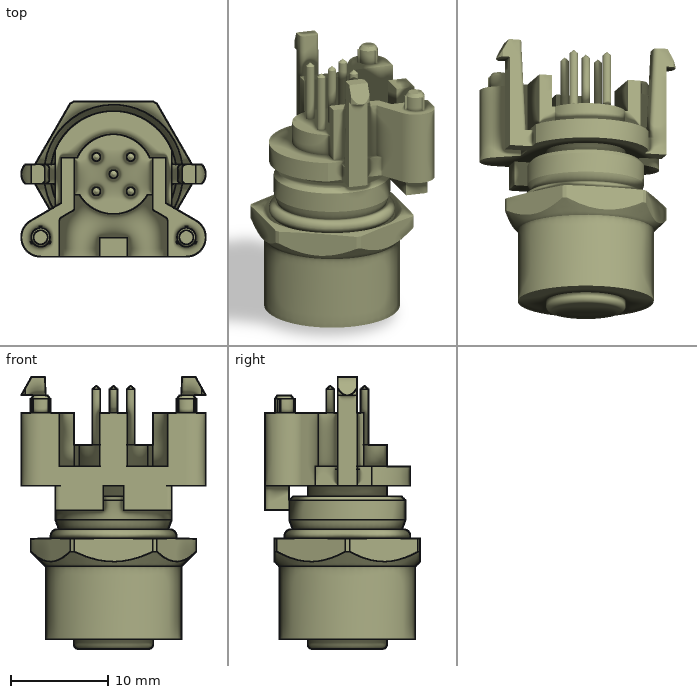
import cadquery as cq
import math

body_bottom = 1.0
nut_bottom = 8.5
nut_top = 11.4
cone_bottom = 12.35
collar_bottom = 13.3
skirt_bottom = 14.3
collar_top = 15.75
plate_bottom = 16.8
plate_top = 18.8
insulator_top = 21.0
wall_top = 24.3
peg_top = 26.1
pin_top = 27.1
latch_top = 28.0

insert_radius = 4.1
insert_edge_radius = 0.5
body_radius = 7.0
core_radius = 5.65
collar_radius = 6.0
collar_chamfer = 0.45

nut_across_flats = 15.0
nut_corner_radius = 8.53
washer_face_radius = 7.45
washer_face_height = 0.07
countersink_radius = 7.15
countersink_floor_radius = 6.5
countersink_depth = 0.45

seal_ring_radius = 5.75
seal_section_radius = 0.75

plate_radius = 6.5
plate_half_width = 6.0
ear_x = 7.5
ear_y = -6.5
ear_radius = 2.0
carrier_front = ear_y - ear_radius
wall_outer_x = 5.4
wall_inner_x = 4.04
wall_back = 1.67
splay_angle = math.radians(30)
well_half_width = 5.56
well_splay_y = -4.55
well_bend_radius = 0.4
wall_bend_radius = 0.25
post_width = 2.8
post_depth = 1.95
skirt_back = -collar_radius
skirt_corner_radius = 0.5
skirt_notch_width = 2.1
tab_front = -2.1

peg_radius = 0.97
peg_tip_radius = 0.72
peg_chamfer_height = 0.35
rib_reach = 1.15
rib_width = 0.25
rib_angles = (90, 210, 330)

latch_half_width = 1.0
latch_outer_x = 8.35
latch_top_outer_x = 8.45
latch_tip_x = 9.5
latch_tip_corner_x = 9.07
latch_top_inner_x = 7.05
latch_root_inner_x = 6.6
latch_edge_radius = 0.45
hook_bottom = 26.12
web_drop = 0.3
web_fillet_radius = 0.2

pin_radius = 0.425
pin_circle_radius = 2.5
pin_tip_height = 0.38


def cylinder(radius, bottom, top):
    return cq.Workplane("XY").workplane(offset=bottom).circle(radius).extrude(top - bottom)


def block(x_min, x_max, y_min, y_max, z_min, z_max):
    size = (x_max - x_min, y_max - y_min, z_max - z_min)
    return cq.Workplane("XY").box(*size, centered=False).translate((x_min, y_min, z_min))


def turned(points):
    """Revolve a closed (radius, height) outline about the Z axis."""
    return cq.Workplane("XZ").polyline(points).close().revolve(360, (0, 0), (0, 1))


def mirrored_pair(shape):
    return shape.union(shape.mirror("YZ"))


def turned_body():
    insert = cylinder(insert_radius, 0, insulator_top)
    insert = insert.faces("<Z").edges().fillet(insert_edge_radius)
    shell = turned([
        (0, body_bottom),
        (body_radius, body_bottom),
        (body_radius, nut_bottom),
        (core_radius, nut_bottom),
        (core_radius, cone_bottom),
        (collar_radius, collar_bottom),
        (collar_radius, collar_top - collar_chamfer),
        (collar_radius - collar_chamfer, collar_top),
        (0, collar_top),
    ])
    return insert.union(shell)


def nut():
    shoulder_top = nut_top - washer_face_height
    corner_diameter = nut_across_flats / math.cos(math.pi / 6)
    hexagon = (
        cq.Workplane("XY").workplane(offset=nut_bottom)
        .polygon(6, corner_diameter).extrude(nut_top - nut_bottom)
    )
    envelope = turned([
        (0, nut_bottom),
        (body_radius, nut_bottom),
        (nut_corner_radius, nut_bottom + nut_corner_radius - body_radius),
        (nut_corner_radius, shoulder_top),
        (washer_face_radius, nut_top),
        (0, nut_top),
    ])
    countersink = turned([
        (0, nut_top - countersink_depth),
        (countersink_floor_radius, nut_top - countersink_depth),
        (countersink_radius, nut_top),
        (0, nut_top),
    ])
    return hexagon.intersect(envelope).cut(countersink)


def seal_ring():
    center_height = cone_bottom - seal_section_radius
    return (
        cq.Workplane("XZ").center(seal_ring_radius, center_height)
        .circle(seal_section_radius)
        .revolve(360, (-seal_ring_radius, 0), (-seal_ring_radius, 1))
    )


def carrier_plate():
    band = block(-plate_half_width, plate_half_width, -plate_radius, plate_radius, plate_bottom, plate_top)
    disc = cylinder(plate_radius, plate_bottom, plate_top).intersect(band)
    front = block(-plate_half_width, plate_half_width, carrier_front, 0, plate_bottom, plate_top)
    return disc.union(front)


def side_wall():
    """Left wall: a straight arm that splays out tangentially into the rounded ear."""
    tangent_x = -ear_x - ear_radius * math.sin(splay_angle)
    tangent_y = ear_y + ear_radius * math.cos(splay_angle)
    outer_bend_y = tangent_y - (tangent_x + wall_outer_x) * math.tan(splay_angle)
    inner_bend_y = well_splay_y + (well_half_width - wall_inner_x) * math.tan(splay_angle)
    arc_middle_x = -ear_x - ear_radius * math.cos(splay_angle)
    arc_middle_y = ear_y - ear_radius * math.sin(splay_angle)
    wall = (
        cq.Workplane("XY").workplane(offset=plate_bottom)
        .moveTo(-wall_inner_x, wall_back)
        .lineTo(-wall_outer_x, wall_back)
        .lineTo(-wall_outer_x, outer_bend_y)
        .lineTo(tangent_x, tangent_y)
        .threePointArc((arc_middle_x, arc_middle_y), (-ear_x, carrier_front))
        .lineTo(-well_half_width, carrier_front)
        .lineTo(-well_half_width, well_splay_y)
        .lineTo(-wall_inner_x, inner_bend_y)
        .close().extrude(wall_top - plate_bottom)
    )
    bends = (
        (-well_half_width, well_splay_y, well_bend_radius),
        (-wall_inner_x, inner_bend_y, wall_bend_radius),
    )
    for x, y, radius in bends:
        bend_edge = cq.selectors.NearestToPointSelector((x, y, (plate_bottom + wall_top) / 2))
        wall = wall.edges("|Z").edges(bend_edge).fillet(radius)
    return wall


def front_post_and_skirt():
    half_post = post_width / 2
    half_notch = skirt_notch_width / 2
    post = block(-half_post, half_post, carrier_front, carrier_front + post_depth, plate_bottom, wall_top)
    skirt = block(
        -plate_half_width, plate_half_width, carrier_front, skirt_back, skirt_bottom, plate_bottom
    )
    skirt = skirt.edges("|Z and <Y").fillet(skirt_corner_radius)
    notch = block(-half_notch, half_notch, carrier_front, skirt_back, skirt_bottom, plate_bottom)
    return post.union(skirt.cut(notch))


def insulator_tabs():
    """Keying tabs that join the round insulator to the side walls."""
    return block(-wall_inner_x, wall_inner_x, tab_front, wall_back, plate_top, insulator_top)


def peg():
    chamfer_start = peg_top - peg_chamfer_height
    peg_post = turned([
        (0, plate_top),
        (peg_radius, plate_top),
        (peg_radius, chamfer_start),
        (peg_tip_radius, peg_top),
        (0, peg_top),
    ])
    for angle in rib_angles:
        rib = block(0, rib_reach, -rib_width / 2, rib_width / 2, plate_top, chamfer_start)
        peg_post = peg_post.union(rib.rotate((0, 0, 0), (0, 0, 1), angle))
    return peg_post.translate((-ear_x, ear_y, 0))


def latch():
    """Left snap latch: tapered arm with a hook on top and a web to the plate at its root."""
    profile = (
        cq.Workplane("XZ")
        .moveTo(-latch_outer_x, plate_bottom)
        .lineTo(-latch_outer_x, hook_bottom)
        .lineTo(-latch_tip_x, hook_bottom)
        .lineTo(-latch_top_outer_x, latch_top)
        .lineTo(-latch_top_inner_x, latch_top)
        .lineTo(-latch_root_inner_x, plate_top)
        .lineTo(-latch_root_inner_x, plate_bottom)
        .close().extrude(latch_half_width, both=True)
    )
    rounded_tip = (
        cq.Workplane("XY").workplane(offset=plate_bottom)
        .moveTo(-plate_half_width, -latch_half_width)
        .lineTo(-latch_tip_corner_x, -latch_half_width)
        .threePointArc((-latch_tip_x, 0), (-latch_tip_corner_x, latch_half_width))
        .lineTo(-plate_half_width, latch_half_width)
        .close().extrude(latch_top - plate_bottom)
    )
    inner_edges = cq.selectors.BoxSelector(
        (-latch_top_inner_x, -plate_radius, plate_bottom),
        (-plate_half_width, plate_radius, latch_top),
    )
    arm = profile.edges(inner_edges).edges("not |Y").fillet(latch_edge_radius)
    return arm.intersect(rounded_tip).union(latch_web())


def latch_web():
    """Root web, set slightly below the plate top, with small fillets where it meets the plate."""
    web_start_x = (latch_root_inner_x + latch_outer_x) / 2
    web_top = plate_top - web_drop
    web = (
        cq.Workplane("XZ")
        .moveTo(-web_start_x, plate_bottom)
        .lineTo(-web_start_x, web_top)
        .lineTo(-plate_half_width, web_top)
        .lineTo(-plate_half_width, plate_bottom)
        .close().extrude(latch_half_width + web_fillet_radius, both=True)
    )
    for side in (1, -1):
        edge_y = side * latch_half_width
        outside_y = side * (latch_half_width + web_fillet_radius)
        fillet_end_x = -plate_half_width - web_fillet_radius
        side_relief = (
            cq.Workplane("XY").workplane(offset=plate_bottom)
            .moveTo(-web_start_x, edge_y)
            .lineTo(fillet_end_x, edge_y)
            .radiusArc((-plate_half_width, outside_y), -side * web_fillet_radius)
            .lineTo(-web_start_x, outside_y)
            .close().extrude(web_top - plate_bottom)
        )
        web = web.cut(side_relief)
    return web


def pins():
    pin = turned([
        (0, plate_top),
        (pin_radius, plate_top),
        (pin_radius, pin_top - pin_tip_height),
        (0, pin_top),
    ])
    group = pin
    for angle in (45, 135, 225, 315):
        x = pin_circle_radius * math.cos(math.radians(angle))
        y = pin_circle_radius * math.sin(math.radians(angle))
        group = group.union(pin.translate((x, y, 0)))
    return group


result = turned_body()
result = result.union(nut()).union(seal_ring())
result = result.union(carrier_plate()).union(mirrored_pair(side_wall()))
result = result.union(front_post_and_skirt()).union(insulator_tabs())
result = result.union(mirrored_pair(peg())).union(mirrored_pair(latch())).union(pins())